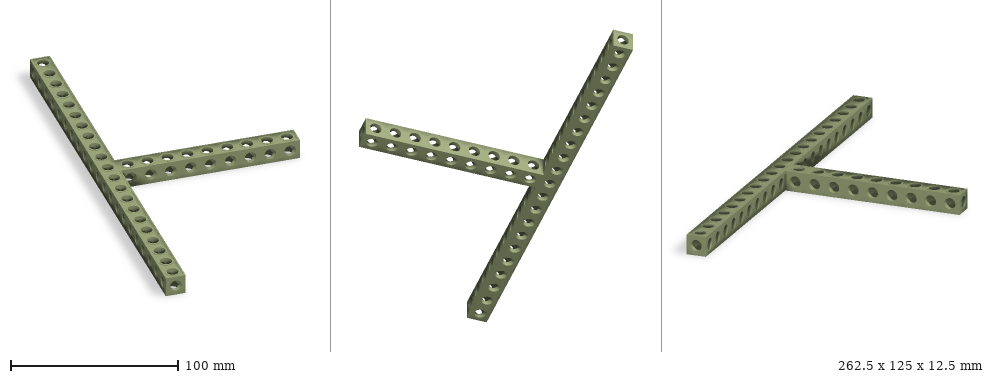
import cadquery as cq

bar_length = 262.5
bar_cells = 21
stem_cells = 10
hole_diameter = 7.0
rim_diameter = 9.2
border_width = 1.0
recess_depth = 0.3

pitch = bar_length / bar_cells
width = pitch
top_z = width / 2
stem_length = stem_cells * pitch
stem_centre_y = (stem_length - width) / 2
bar_hole_xs = [(i - (bar_cells - 1) / 2) * pitch for i in range(bar_cells)]
stem_hole_ys = [i * pitch for i in range(stem_cells)]
top_hole_points = [(x, 0) for x in bar_hole_xs] + [(0, y) for y in stem_hole_ys[1:]]


def tee_prism(inset, height):
    """T-shaped prism hanging down from the top plane, outline moved inward by inset."""
    top_plane = cq.Workplane("XY").workplane(offset=top_z)
    bar = top_plane.rect(bar_length - 2 * inset, width - 2 * inset).extrude(-height)
    stem = (
        top_plane.center(0, stem_centre_y)
        .rect(width - 2 * inset, stem_length - 2 * inset)
        .extrude(-height)
    )
    return bar.union(stem)


def pins(plane, points, diameter, reach):
    """Cylinders through the given points, extending by reach to both sides of the plane."""
    return cq.Workplane(plane).pushPoints(points).circle(diameter / 2).extrude(reach, both=True)


recess = tee_prism(border_width, recess_depth).cut(pins("XY", top_hole_points, rim_diameter, width))
body = tee_prism(0, width).cut(recess)

vertical_holes = pins("XY", top_hole_points, hole_diameter, width)
holes_along_y = pins("XZ", [(x, 0) for x in bar_hole_xs], hole_diameter, stem_length)
holes_along_x = pins("YZ", [(y, 0) for y in stem_hole_ys], hole_diameter, bar_length)

result = body.cut(vertical_holes).cut(holes_along_y).cut(holes_along_x)